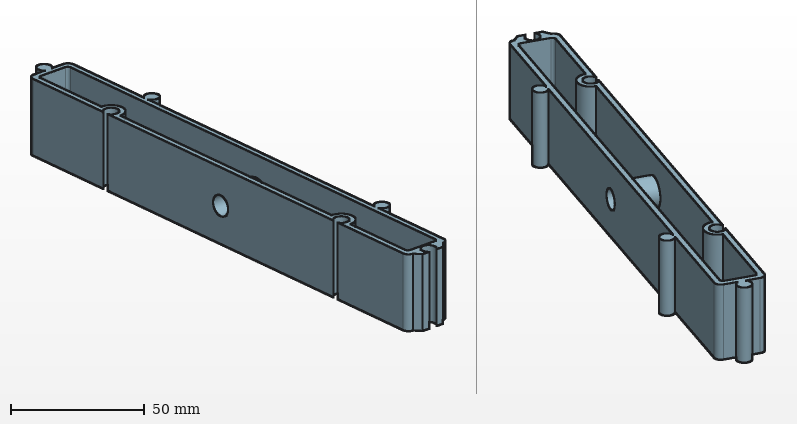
import cadquery as cq

total_length = 224.0
height = 31.5
body_width = 20.2
wall = 2.7
corner_radius = 2.7
cavity_corner_radius = 1.3

snap_radius = 3.02
side_snap_offset = 2.8
end_snap_offset = 2.5
socket_wall_radius = 5.4
snap_spacing = 130.8
snap_middle_x = 115.0

lip_length = 2.7
lip_width = 10.0
end_web = 0.5

tube_diameter = 12.8
bore_diameter = 8.5

body_start = snap_radius + end_snap_offset
body_end = total_length - lip_length
body_middle_y = body_width / 2
end_socket_x = total_length - end_snap_offset
cavity_start = body_start + wall
cavity_end = end_socket_x - snap_radius - end_web
snap_xs = [snap_middle_x - snap_spacing / 2, snap_middle_x + snap_spacing / 2]


def box_between(x_start, x_end, y_start, y_end, z_start):
    """Block from z_start up to the rim."""
    return (
        cq.Workplane("XY")
        .box(x_end - x_start, y_end - y_start, height - z_start, centered=False)
        .translate((x_start, y_start, z_start))
    )


def post(x, y, radius):
    """Full-height vertical cylinder."""
    return cq.Workplane("XY").center(x, y).circle(radius).extrude(height)


def cross_cylinder(diameter):
    """Cylinder along Y through the body at mid height."""
    return (
        cq.Workplane("XZ")
        .center(snap_middle_x, height / 2)
        .circle(diameter / 2)
        .extrude(-body_width)
    )


def end_lip():
    """Trapezoid widening from the lip face back to the rounded body corners."""
    root_half = body_width / 2 - corner_radius
    lip_half = lip_width / 2
    return (
        cq.Workplane("XY")
        .moveTo(cavity_end, body_middle_y - root_half)
        .lineTo(body_end, body_middle_y - root_half)
        .lineTo(total_length, body_middle_y - lip_half)
        .lineTo(total_length, body_middle_y + lip_half)
        .lineTo(body_end, body_middle_y + root_half)
        .lineTo(cavity_end, body_middle_y + root_half)
        .close()
        .extrude(height)
    )


outer = box_between(body_start, body_end, 0, body_width, 0).edges("|Z").fillet(corner_radius)
body = outer.union(end_lip())

cavity = box_between(cavity_start, cavity_end, wall, body_width - wall, wall)
cavity = cavity.edges("|Z").fillet(cavity_corner_radius)
for x in snap_xs:
    cavity = cavity.cut(post(x, side_snap_offset, socket_wall_radius))
body = body.cut(cavity)

body = body.union(cross_cylinder(tube_diameter)).cut(cross_cylinder(bore_diameter))

for x in snap_xs:
    body = body.union(post(x, body_width + side_snap_offset, snap_radius))
    body = body.cut(post(x, side_snap_offset, snap_radius))

body = body.union(post(snap_radius, body_middle_y, snap_radius))
body = body.cut(post(end_socket_x, body_middle_y, snap_radius))

result = body